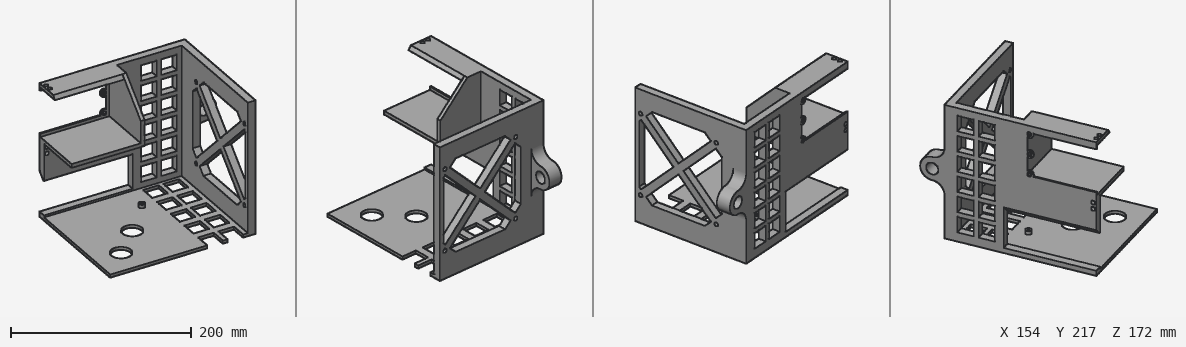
import cadquery as cq
import math

WIDTH = 154.0
LENGTH = 217.0
HEIGHT = 172.0

WALL = 10.0
FLOOR = 4.1
SHEET = 5.0

LUG_RADIUS = 15.0
LUG_WIDTH = 18.0
LUG_HOLE = 15.0
LUG_Y = LENGTH - LUG_RADIUS
LUG_Z = HEIGHT / 2
BACK_Y = LUG_Y - LUG_RADIUS

WINDOW = 20.0
WINDOW_PITCH = 26.0
WINDOW_COLUMNS = 2
WINDOW_FIRST_Y = 135.0
WALL_WINDOW_ROWS = 6
WALL_WINDOW_FIRST_Z = 22.0
FLOOR_WINDOW_ROWS = 5
FLOOR_WINDOW_PITCH_X = 30.0
FLOOR_WINDOW_LAST_X = WIDTH - WINDOW / 2

FAN_X = 94.0
FAN_Z = 88.5
FAN_OPENING = 120.2
FAN_RIM = 5.6
FAN_SCREW_SPACING = 105.0
FAN_CORNER_GAP = 5.9
BRACE_WIDTH = 10.0
SCREW_HOLE = 5.0

BOX_WIDTH = 70.0
BOX_DEPTH = 94.0
BOX_BOTTOM = 98.5
BOX_SLOPE = 40.0
TOP_EDGE_RUN = 3.7
SKIN = 2.0
BOX_WINDOW_DEPTH = 85.0
BOX_WINDOW_BOTTOM = 107.6
BOX_WINDOW_TOP = 163.0

EAR_DIAMETER = 10.0
EAR_Y = BOX_WINDOW_DEPTH - SCREW_HOLE / 2
EAR_PITCH = 26.0
EAR_COUNT = 3
EAR_MIDDLE_Z = (BOX_WINDOW_BOTTOM + BOX_WINDOW_TOP) / 2

ACCESS_DEPTH = 114.1
ACCESS_BOTTOM = 6.7
ACCESS_TOP = 51.0
ACCESS_BEVEL = 8.0

PAIR_INSET = 4.0
PAIR_PITCH = 8.0
TOP_PAIR_X = 8.0
SIDE_PAIR_Z = 85.5

CABLE_HOLE = 25.0
CABLE_HOLE_CENTERS = [(84.2, 69.7), (119.1, 34.7)]
POST_DIAMETER = 7.5
POST_HOLE = 3.0
POST_TOP = 8.5
POST_X = 45.0
POST_Y = 105.2


def block(x0, x1, y0, y1, z0, z1):
    """Box between two opposite corners."""
    return cq.Workplane("XY").box(x1 - x0, y1 - y0, z1 - z0, centered=False).translate((x0, y0, z0))


def cylinder_x(diameter, y, z, x0, x1):
    """Cylinder along x between x0 and x1."""
    return cq.Workplane("YZ", origin=(x0, y, z)).circle(diameter / 2).extrude(x1 - x0)


def cylinder_z(diameter, x, y, z0, z1):
    """Cylinder along z between z0 and z1."""
    return cq.Workplane("XY", origin=(x, y, z0)).circle(diameter / 2).extrude(z1 - z0)


def shell_plates():
    """Floor, left wall and back wall."""
    floor = block(0, WIDTH, 0, BACK_Y, 0, FLOOR)
    left = block(0, WALL, 0, BACK_Y, 0, HEIGHT)
    back = block(0, WIDTH, BACK_Y - WALL, BACK_Y, 0, HEIGHT)
    return floor.union(left).union(back)


def lug():
    """Round eye blended into the back wall by two concave quarter arcs."""
    r = LUG_RADIUS
    d = r * math.sqrt(0.5)
    return (
        cq.Workplane("YZ", origin=(0, LUG_Y, LUG_Z))
        .moveTo(-r, 2 * r)
        .threePointArc((-d, 2 * r - d), (0, r))
        .threePointArc((r, 0), (0, -r))
        .threePointArc((-d, d - 2 * r), (-r, -2 * r))
        .close()
        .extrude(LUG_WIDTH)
    )


def box_body():
    """Solid five sided prism that the box is hollowed from."""
    return (
        cq.Workplane("XZ")
        .moveTo(0, BOX_BOTTOM)
        .lineTo(BOX_WIDTH, BOX_BOTTOM)
        .lineTo(BOX_WIDTH, HEIGHT - BOX_SLOPE)
        .lineTo(BOX_WIDTH - BOX_SLOPE, HEIGHT)
        .lineTo(0, HEIGHT)
        .close()
        .extrude(-BOX_DEPTH)
    )


def box_cavity():
    """Hollow of the box, open to the front and to the right, with the slanted edge of its top plate."""
    hollow = block(SKIN, BOX_WIDTH, 0, BOX_DEPTH - SHEET, BOX_BOTTOM + SHEET, HEIGHT - SHEET)
    edge_x = BOX_WIDTH - BOX_SLOPE
    edge_cut = (
        cq.Workplane("XZ")
        .moveTo(edge_x, HEIGHT)
        .lineTo(BOX_WIDTH, HEIGHT)
        .lineTo(BOX_WIDTH, HEIGHT - SHEET)
        .lineTo(edge_x + TOP_EDGE_RUN, HEIGHT - SHEET)
        .close()
        .extrude(SHEET - BOX_DEPTH)
    )
    return hollow.union(edge_cut)


def box_window():
    """Window in the thin skin, leaving drilled ears along its inner end."""
    window = block(0, SKIN, 0, BOX_WINDOW_DEPTH, BOX_WINDOW_BOTTOM, BOX_WINDOW_TOP)
    for i in range(EAR_COUNT):
        z = EAR_MIDDLE_Z + (i - (EAR_COUNT - 1) / 2) * EAR_PITCH
        window = window.cut(cylinder_x(EAR_DIAMETER, EAR_Y, z, 0, SKIN))
        window = window.union(cylinder_x(SCREW_HOLE, EAR_Y, z, 0, SKIN))
    return window


def access_opening():
    """Front opening of the left wall; its upper edge is bevelled on the outside."""
    return (
        cq.Workplane("XZ")
        .moveTo(0, ACCESS_BOTTOM)
        .lineTo(WALL, ACCESS_BOTTOM)
        .lineTo(WALL, ACCESS_TOP)
        .lineTo(ACCESS_BEVEL, ACCESS_TOP)
        .lineTo(0, ACCESS_TOP + ACCESS_BEVEL)
        .close()
        .extrude(-ACCESS_DEPTH)
    )


def vent_windows():
    """Square windows through the left wall and through the floor."""
    wall_points = []
    floor_points = []
    for column in range(WINDOW_COLUMNS):
        y = WINDOW_FIRST_Y + column * WINDOW_PITCH
        for row in range(WALL_WINDOW_ROWS):
            wall_points.append((y, WALL_WINDOW_FIRST_Z + row * WINDOW_PITCH))
        for row in range(FLOOR_WINDOW_ROWS):
            floor_points.append((FLOOR_WINDOW_LAST_X - row * FLOOR_WINDOW_PITCH_X, y))
    wall = cq.Workplane("YZ").pushPoints(wall_points).rect(WINDOW, WINDOW).extrude(WALL)
    floor = cq.Workplane("XY").pushPoints(floor_points).rect(WINDOW, WINDOW).extrude(FLOOR)
    return wall.union(floor)


def fan_opening():
    """Square opening with trimmed corners, crossed by two braces, and its screw holes."""
    plane = cq.Workplane("XZ", origin=(FAN_X, BACK_Y, FAN_Z))
    trimmed = FAN_SCREW_SPACING * math.sqrt(2) - 2 * FAN_CORNER_GAP
    opening = plane.rect(FAN_OPENING, FAN_OPENING).extrude(WALL)
    diamond = plane.transformed(rotate=(0, 0, 45)).rect(trimmed, trimmed).extrude(WALL)
    opening = opening.intersect(diamond)
    for angle in (45, -45):
        brace = plane.transformed(rotate=(0, 0, angle)).rect(2 * FAN_OPENING, BRACE_WIDTH).extrude(WALL)
        opening = opening.cut(brace)
    opening = opening.cut(block(WIDTH - FAN_RIM, WIDTH, 0, BACK_Y, 0, HEIGHT))
    screws = (
        plane.rect(FAN_SCREW_SPACING, FAN_SCREW_SPACING, forConstruction=True)
        .vertices()
        .circle(SCREW_HOLE / 2)
        .extrude(WALL)
    )
    return opening.union(screws)


def front_screw_pairs():
    """Two holes down through the box top and two through the left wall."""
    holes = cq.Workplane("XY")
    for i in range(2):
        x = TOP_PAIR_X + i * PAIR_PITCH
        z = SIDE_PAIR_Z + i * PAIR_PITCH
        holes = holes.add(cylinder_z(SCREW_HOLE, x, PAIR_INSET, HEIGHT - SHEET, HEIGHT))
        holes = holes.add(cylinder_x(SCREW_HOLE, PAIR_INSET, z, 0, WALL))
    return holes.combine()


result = shell_plates().union(box_body()).union(lug())
result = result.cut(box_cavity()).cut(box_window()).cut(access_opening())
result = result.cut(vent_windows()).cut(fan_opening()).cut(front_screw_pairs())
result = result.cut(cylinder_x(LUG_HOLE, LUG_Y, LUG_Z, 0, LUG_WIDTH))

for hole_x, hole_y in CABLE_HOLE_CENTERS:
    result = result.cut(cylinder_z(CABLE_HOLE, hole_x, hole_y, 0, FLOOR))

result = result.union(cylinder_z(POST_DIAMETER, POST_X, POST_Y, 0, POST_TOP))
result = result.cut(cylinder_z(POST_HOLE, POST_X, POST_Y, 0, POST_TOP))